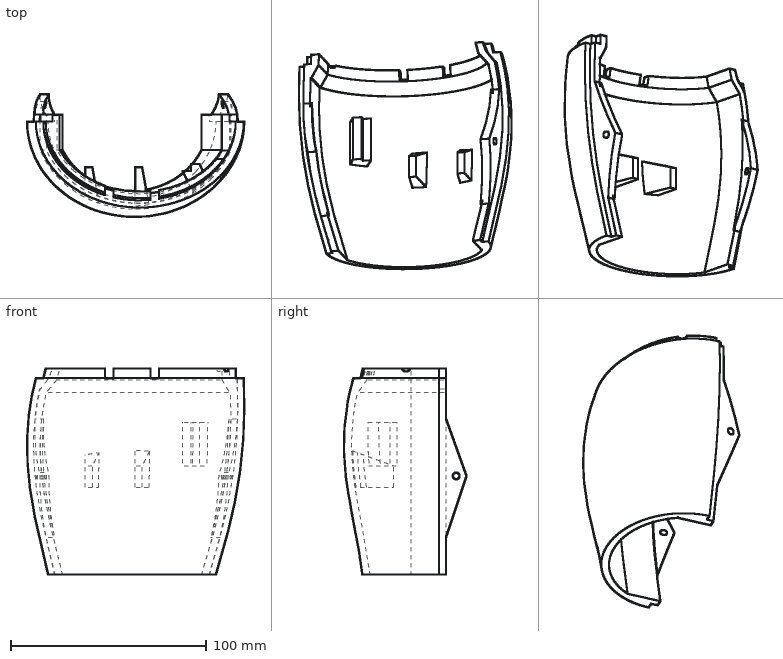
import cadquery as cq
import math

rim_z = 100.7
top_z = 105.6
undercut_low_z = 93.3
undercut_high_z = 99.8

shell_stations = [
    (0.0, -44.8, 41.2, 39.4),
    (25.2, -50.7, 48.2, 43.7),
    (50.4, -54.8, 53.3, 47.9),
    (75.5, -55.3, 55.6, 48.6),
    (rim_z, -51.0, 55.5, 44.0),
]

lip_foot = (rim_z, -47.2, 51.4, 40.3)
lip_top = (top_z, -46.0, 51.4, 39.2)
lip_thickness = 3.3

undercut_foot = (undercut_low_z, -48.8, 51.2, 41.7)

wall = 4.0
tongue_inset = 3.3
tab_inner_inset = 7.7

straight_start_y = -14.5
tongue_y = 3.6

tab_tip_y = 14.0
tab_tip_z = 50.6
tab_low_z = 19.2
tab_high_z = 79.8
tab_hole_y = 8.7
tab_hole_radius = 1.7

lip_gaps = [(-15.6, -11.4), (7.8, 12.0)]
groove_y = -16.9
groove_radius = 2.2
groove_z = 106.3

left_tongue_low = (-48.7, 95.0)
left_tongue_top = (-42.6, top_z)
left_tongue_mid = (-44.3, rim_z)
right_tongue_x = 48.2

rib_left_x = [-25.7, -0.2]
rib_tip_width = 3.7
rib_tip_y = -23.3
rib_side_slope = 0.18
rib_base_z = 44.6
rib_tip_z = 55.7
rib_top_angle = 20.0
clip_outline = [
    (24.2, -25.3),
    (28.4, -25.3),
    (28.4, -21.7),
    (32.9, -21.7),
    (44.6, -47.9),
    (34.8, -47.9),
]
clip_base_z = 55.7
clip_top_z = 78.0

reach = 66.8


def inset(station, distance):
    """Station with its ellipse shrunk inward, at the same height."""
    z, left, right, depth = station
    return (z, left + distance, right - distance, depth - distance)


def ellipse_wire(station):
    z, left, right, depth = station
    center = cq.Vector((left + right) / 2, 0, z)
    edge = cq.Edge.makeEllipse((right - left) / 2, depth, center, cq.Vector(0, 0, 1), cq.Vector(1, 0, 0))
    return cq.Wire.assembleEdges([edge])


def cavity_wire(station):
    """Elliptic front closed by straight sides up to the tongue end."""
    z, left, right, depth = station
    center_x = (left + right) / 2
    half_width = (right - left) / 2
    angle = math.asin(-straight_start_y / depth)
    half_gap = half_width * math.cos(angle)
    arc = cq.Edge.makeEllipse(
        half_width, depth, cq.Vector(center_x, 0, z), cq.Vector(0, 0, 1), cq.Vector(1, 0, 0),
        180 + math.degrees(angle), 360 - math.degrees(angle),
    )
    corners = [
        cq.Vector(center_x + half_gap, straight_start_y, z),
        cq.Vector(center_x + half_gap, tongue_y, z),
        cq.Vector(center_x - half_gap, tongue_y, z),
        cq.Vector(center_x - half_gap, straight_start_y, z),
    ]
    sides = [cq.Edge.makeLine(start, end) for start, end in zip(corners, corners[1:])]
    return cq.Wire.assembleEdges([arc] + sides)


def loft(wires, ruled=False):
    return cq.Workplane(obj=cq.Solid.makeLoft(wires, ruled))


def block(x_range, y_range, z_range):
    size = [high - low for low, high in (x_range, y_range, z_range)]
    corner = (x_range[0], y_range[0], z_range[0])
    return cq.Workplane("XY").box(*size, centered=False).translate(corner)


def barrel(distance):
    """Closed solid with the shell's shape, shrunk inward by a distance."""
    return loft([ellipse_wire(inset(s, distance)) for s in shell_stations])


def side_plane(start_x=-reach):
    """Sketch plane with Y across and Z up, extruding toward +X."""
    return cq.Workplane("YZ", origin=(start_x, 0, 0))


front_half = block((-reach, reach), (-reach, 0), (0, top_z))

shell = barrel(0).intersect(front_half)
lip = loft([ellipse_wire(lip_foot), ellipse_wire(lip_top)], True).intersect(front_half)

tongue_profile = (
    side_plane()
    .polyline([
        (0, 0),
        (tongue_y, 0),
        (tongue_y, tab_low_z),
        (tab_tip_y, tab_tip_z),
        (tongue_y, tab_high_z),
        (tongue_y, rim_z),
        (0, rim_z),
    ])
    .close()
    .extrude(2 * reach)
)
left_corner_cut = (
    cq.Workplane("XZ")
    .polyline([left_tongue_low, left_tongue_mid, (-reach, rim_z), (-reach, left_tongue_low[1])])
    .close()
    .extrude(-tongue_y)
)
tab_holes = side_plane().center(tab_hole_y, tab_tip_z).circle(tab_hole_radius).extrude(2 * reach)
behind_tongue = block((-reach, reach), (tongue_y, tab_tip_y), (0, rim_z))
tab_bore = barrel(tab_inner_inset).intersect(behind_tongue)
tongue = barrel(tongue_inset).intersect(tongue_profile).cut(left_corner_cut).cut(tab_holes).cut(tab_bore)

lip_tongue = (
    cq.Workplane("XZ")
    .polyline([left_tongue_mid, left_tongue_top, (right_tongue_x, top_z), (right_tongue_x, rim_z)])
    .close()
    .extrude(-tongue_y)
)

body_cavity = loft([cavity_wire(inset(s, wall)) for s in shell_stations])
body_cavity = body_cavity.intersect(block((-reach, reach), (-reach, reach), (0, undercut_low_z)))
lip_bore = inset(lip_top, lip_thickness)
undercut_top = (undercut_high_z,) + inset(lip_foot, lip_thickness)[1:]
undercut = loft([cavity_wire(undercut_foot), cavity_wire(undercut_top)], True)
lip_cavity = loft([cavity_wire(undercut_top), cavity_wire(lip_bore)], True)

body = shell.union(lip).union(tongue).union(lip_tongue)
body = body.cut(body_cavity).cut(undercut).cut(lip_cavity)

for gap in lip_gaps:
    body = body.cut(block(gap, (-reach, 0), (rim_z, top_z)))
body = body.cut(side_plane(0).center(groove_y, groove_z).circle(groove_radius).extrude(reach))

solid_core = barrel(wall / 2)
rib_length = reach + rib_tip_y
rib_rise = rib_length * math.tan(math.radians(rib_top_angle))
rib_side_profile = (
    side_plane()
    .polyline([
        (rib_tip_y, rib_base_z),
        (rib_tip_y, rib_tip_z),
        (-reach, rib_tip_z + rib_rise),
        (-reach, rib_base_z),
    ])
    .close()
    .extrude(2 * reach)
)
for left_x in rib_left_x:
    right_x = left_x + rib_tip_width
    plan = (
        cq.Workplane("XY")
        .polyline([
            (left_x, rib_tip_y),
            (right_x, rib_tip_y),
            (right_x + rib_side_slope * rib_length, -reach),
            (left_x, -reach),
        ])
        .close()
        .extrude(top_z)
    )
    body = body.union(plan.intersect(rib_side_profile).intersect(solid_core))

clip_post = (
    cq.Workplane("XY", origin=(0, 0, clip_base_z))
    .polyline(clip_outline)
    .close()
    .extrude(clip_top_z - clip_base_z)
)
result = body.union(clip_post.intersect(solid_core))